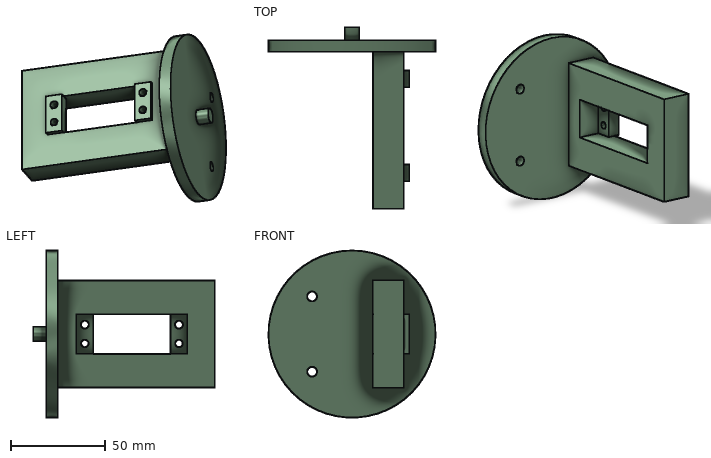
import cadquery as cq

overall_length = 96.52

disc_diameter = 88.9
disc_thickness = 6.35
disc_hole_diameter = 5.08
disc_hole_x = -21.2
disc_hole_spacing = 40.0

pin_diameter = 7.9
pin_length = 6.85

frame_left_x = 11.1
frame_width = 16.51
frame_height = 57.0
frame_length = overall_length - disc_thickness - pin_length

window_length = 59.0
window_height = 21.0
window_disc_gap = 9.75

tab_length = 9.0
tab_thickness = 6.8
tab_protrusion = 2.8
tab_hole_spacing = 10.0
upper_tab_hole_diameter = 4.09
lower_tab_hole_diameter = 3.83

frame_right_x = frame_left_x + frame_width
tab_right_x = frame_right_x + tab_protrusion
tab_left_x = tab_right_x - tab_thickness
window_back_y = -window_disc_gap
window_front_y = window_back_y - window_length
tab_centers_y = (window_back_y - tab_length / 2, window_front_y + tab_length / 2)


def box_centered_on_z(x_min, y_min, x_size, y_size, z_size):
    """Box placed by its lowest X and Y, and symmetric about Z = 0."""
    box = cq.Workplane("XY").box(x_size, y_size, z_size, centered=(False, False, True))
    return box.translate((x_min, y_min, 0))


def cylinder_along_y(diameter, y_start, length, x=0.0, z=0.0):
    """Cylinder running from y_start towards +Y."""
    base = cq.Vector(x, y_start, z)
    return cq.Workplane(cq.Solid.makeCylinder(diameter / 2, length, base, cq.Vector(0, 1, 0)))


def make_disc():
    """Round plate with two through holes and a pin on its back face."""
    disc = cylinder_along_y(disc_diameter, 0, disc_thickness)
    for hole_z in (-disc_hole_spacing / 2, disc_hole_spacing / 2):
        disc = disc.cut(cylinder_along_y(disc_hole_diameter, 0, disc_thickness, disc_hole_x, hole_z))
    return disc.union(cylinder_along_y(pin_diameter, disc_thickness, pin_length))


def make_frame():
    """Rectangular arm standing on the disc, with a window through it along X."""
    frame = box_centered_on_z(frame_left_x, -frame_length, frame_width, frame_length, frame_height)
    window = box_centered_on_z(frame_left_x, window_front_y, frame_width, window_length, window_height)
    return frame.cut(window)


def make_tab(center_y):
    """Mounting tab at one end of the window, with an upper and a lower hole along X."""
    tab = box_centered_on_z(
        tab_left_x, center_y - tab_length / 2, tab_thickness, tab_length, window_height
    )
    holes = (
        (upper_tab_hole_diameter, tab_hole_spacing / 2),
        (lower_tab_hole_diameter, -tab_hole_spacing / 2),
    )
    for diameter, hole_z in holes:
        start = cq.Vector(tab_left_x, center_y, hole_z)
        tab = tab.cut(
            cq.Workplane(cq.Solid.makeCylinder(diameter / 2, tab_thickness, start, cq.Vector(1, 0, 0)))
        )
    return tab


result = make_disc().union(make_frame())
for tab_center_y in tab_centers_y:
    result = result.union(make_tab(tab_center_y))